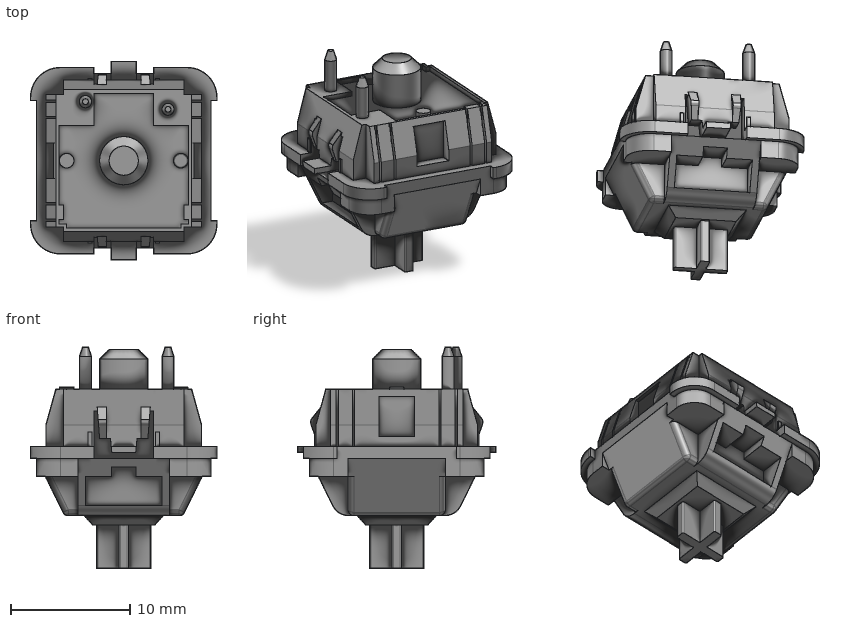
import cadquery as cq


EPS = 0.18

FLANGE_WIDTH = 15.6
FLANGE_T = 1.0
FLANGE_CORNER_R = 2.5
WAIST_WIDTH = 14.62
WAIST_LENGTH = 10.03

WALL_STRAIGHT = 1.8
WALL_LEAN = 3.0
CASE_TOP = FLANGE_T + WALL_STRAIGHT + WALL_LEAN
LEAN_Z = FLANGE_T + WALL_STRAIGHT
SIDE_BASE_X = 6.51
SIDE_TOP_X = 5.68
SIDE_HALF_Y = 5.55
END_BASE_Y = 6.75
END_TOP_Y = 5.94
END_HALF_X = 5.03

SLOT_WIDTH = 0.18
SLOT_CENTRES_Y = (3.6, 4.98)
WINDOW_WIDTH = 2.98
WINDOW_SILL_Z = 1.81
WINDOW_TOP_Z = 5.16
WINDOW_BACK_X = 5.55

RECESS_WIDTH = 5.0
RECESS_BACK_Y = 5.35
RECESS_TOP_Z = 3.98
LATCH_TOP_Z = 4.27
LATCH_STEP_Z = 1.66
LATCH_TOP_HALF = 2.22
LATCH_STEP_HALF = 2.02
LATCH_INNER_X = 1.46
TONGUE_TOP_HALF = 1.11
TONGUE_BOTTOM_HALF = 1.0
TOOTH_REACH_Y = 7.2
TOOTH_CREST_BULGE = 0.04
TOOTH_CREST_TOP_Z = 3.25
TOOTH_CREST_BOTTOM_Z = 2.8
TAB_SPAN = 16.6
TAB_REACH_Y = TAB_SPAN / 2
TAB_BOTTOM_Z = FLANGE_T / 2
RIB_CENTRE_X = 2.83
RIB_WIDTH = 0.31
RIB_TOP_Z = 2.18
RIB_FACE_Y = 6.88

POCKET_DEPTH = 0.4
FLOOR_Z = CASE_TOP - POCKET_DEPTH
POCKET_HALF_X = 5.4
POCKET_NECK_HALF_X = 2.5
POCKET_NECK_END_Y = 5.6
POCKET_SHOULDER_Y = 2.92
POCKET_CORNER_HALF_X = 4.77
POCKET_CORNER_Y = -5.27
POCKET_END_Y = -5.65
LUG_DEPTH = 0.37
LUG_FRONT_Y = -3.7
LUG_REAR_Y = -4.92
POST_R = 2.02
POST_TOP_Z = 9.1
POST_CHAMFER = 0.8
PEG_R = 0.61
PEG_X = 4.77
PEG_TOP_Z = 5.95
PEG_ROUND = 0.07

LOWER_HEIGHT = 4.8
LOWER_TOP_HALF = WAIST_WIDTH / 2
LOWER_BOTTOM_HALF = 4.94
LONG_HALF_Y = 4.07
CROSS_HALF_X = 3.81
LOWER_EDGE_R = 0.5
BELLY_R = 1.5
BLOCK_HEIGHT = 1.5
BLOCK_CORNER_R = 2.02

NICHE_WIDTH = 6.42
NICHE_FLOOR_Z = -3.95
NICHE_BACK_Y = 4.37
NICHE_NOTCH_WIDTH = 2.02
NICHE_NOTCH_TOP_Z = -0.72

FRUSTUM_HEIGHT = 0.8
FRUSTUM_TOP = 6.62
FRUSTUM_BOTTOM = 5.15
CROSS_SPAN = 4.53
CROSS_ARM_T = 0.8
CROSS_HEIGHT = 3.6
CROSS_ROUND = 0.13

PINS = ((-3.2, 4.94, 0.52), (3.7, 4.3, 0.5))
PIN_HEIGHT = 3.52
PIN_POINT = 0.8
PIN_TIP_R = 0.24


def box(x0, x1, y0, y1, z0, z1):
    return cq.Workplane("XY").box(x1 - x0, y1 - y0, z1 - z0, centered=False).translate((x0, y0, z0))


def prism_along_y(points, half_length):
    """Outline in XZ, extruded symmetrically in Y."""
    return cq.Workplane("XZ").polyline(points).close().extrude(half_length, both=True)


def prism_along_x(points, half_length):
    """Outline in YZ, extruded symmetrically in X."""
    return cq.Workplane("YZ").polyline(points).close().extrude(half_length, both=True)


def mirrored(points):
    """Closed outline from its positive half, listed from one end of the mirror axis to the other."""
    return points + [(-u, v) for u, v in reversed(points)]


def both_ends(shape):
    return shape.union(shape.mirror("XZ"))


def both_sides(shape):
    return shape.union(shape.mirror("YZ"))


def rounded_square(width, radius, z0, height):
    square = cq.Workplane("XY", origin=(0, 0, z0)).rect(width, width).extrude(height)
    return square.edges("|Z").fillet(radius)


def make_flange():
    flange = rounded_square(FLANGE_WIDTH, FLANGE_CORNER_R, 0, FLANGE_T)
    waist = box(WAIST_WIDTH / 2, FLANGE_WIDTH, -WAIST_LENGTH / 2, WAIST_LENGTH / 2, -EPS, FLANGE_T + EPS)
    return flange.cut(both_sides(waist))


def make_corner_blocks():
    blocks = rounded_square(WAIST_WIDTH, BLOCK_CORNER_R, -BLOCK_HEIGHT, BLOCK_HEIGHT)
    far = WAIST_WIDTH
    blocks = blocks.cut(box(-CROSS_HALF_X, CROSS_HALF_X, -far, far, -BLOCK_HEIGHT, 0))
    return blocks.cut(box(-far, far, -LONG_HALF_Y, LONG_HALF_Y, -BLOCK_HEIGHT, 0))


def make_lower_case():
    taper = [(LOWER_TOP_HALF, 0), (LOWER_BOTTOM_HALF, -LOWER_HEIGHT)]
    cross_prism = prism_along_x(mirrored(taper), CROSS_HALF_X)
    cross_prism = cross_prism.faces("<Z").edges("|X").fillet(BELLY_R)
    long_prism = prism_along_y(mirrored(taper), LONG_HALF_Y)
    far = WAIST_WIDTH
    upper = long_prism.intersect(box(-far, far, -far, far, -BLOCK_HEIGHT, 0))
    lower = long_prism.cut(upper).edges("(not #Z) or (<Z)").fillet(LOWER_EDGE_R)
    return upper.union(lower).union(cross_prism).union(make_corner_blocks())


def make_niche():
    outside = LOWER_TOP_HALF + EPS
    half = NICHE_WIDTH / 2
    notch_half = NICHE_NOTCH_WIDTH / 2
    wide = box(-half, half, NICHE_BACK_Y, outside, NICHE_FLOOR_Z, -BLOCK_HEIGHT)
    notch = box(-notch_half, notch_half, NICHE_BACK_Y, outside, -BLOCK_HEIGHT, NICHE_NOTCH_TOP_Z)
    return both_ends(wide.union(notch))


def make_upper_case():
    side = [(SIDE_BASE_X, 0), (SIDE_BASE_X, LEAN_Z), (SIDE_TOP_X, CASE_TOP)]
    end = [(END_BASE_Y, 0), (END_BASE_Y, LEAN_Z), (END_TOP_Y, CASE_TOP)]
    return prism_along_y(mirrored(side), SIDE_HALF_Y).union(prism_along_x(mirrored(end), END_HALF_X))


def make_side_cuts():
    outside = SIDE_BASE_X + EPS
    half = WINDOW_WIDTH / 2
    cuts = box(WINDOW_BACK_X, outside, -half, half, WINDOW_SILL_Z, WINDOW_TOP_Z)
    for centre in SLOT_CENTRES_Y:
        for y in (-centre, centre):
            y0 = y - SLOT_WIDTH / 2
            cuts = cuts.union(box(SIDE_TOP_X, outside, y0, y0 + SLOT_WIDTH, FLANGE_T, CASE_TOP + EPS))
    return both_sides(cuts)


def make_latch_outline():
    """Latch seen along Y: broad head over a narrow tongue."""
    half = [
        (LATCH_TOP_HALF, LATCH_TOP_Z),
        (LATCH_STEP_HALF, LATCH_STEP_Z),
        (TONGUE_TOP_HALF, LATCH_STEP_Z),
        (TONGUE_BOTTOM_HALF, TAB_BOTTOM_Z),
    ]
    return prism_along_y(mirrored(half), FLANGE_WIDTH)


def make_recess(latch):
    half = RECESS_WIDTH / 2
    recess = box(-half, half, RECESS_BACK_Y, FLANGE_WIDTH, 0, RECESS_TOP_Z)
    return both_ends(recess.cut(latch))


def make_latch_details(latch):
    tab = box(-LATCH_TOP_HALF, LATCH_TOP_HALF, RECESS_BACK_Y, TAB_REACH_Y, TAB_BOTTOM_Z, FLANGE_T)
    lean = (END_BASE_Y - END_TOP_Y) / WALL_LEAN
    tooth_root_y = END_BASE_Y - lean * (LATCH_TOP_Z - LEAN_Z)
    teeth = (
        cq.Workplane("YZ")
        .moveTo(tooth_root_y - EPS, LATCH_STEP_Z)
        .lineTo(END_BASE_Y, LATCH_STEP_Z)
        .lineTo(TOOTH_REACH_Y - TOOTH_CREST_BULGE, TOOTH_CREST_BOTTOM_Z)
        .threePointArc(
            (TOOTH_REACH_Y, (TOOTH_CREST_TOP_Z + TOOTH_CREST_BOTTOM_Z) / 2),
            (TOOTH_REACH_Y - TOOTH_CREST_BULGE, TOOTH_CREST_TOP_Z),
        )
        .lineTo(tooth_root_y, LATCH_TOP_Z)
        .lineTo(tooth_root_y - EPS, LATCH_TOP_Z)
        .close()
        .extrude(LATCH_TOP_HALF, both=True)
    )
    gap = box(-LATCH_INNER_X, LATCH_INNER_X, 0, FLANGE_WIDTH, 0, CASE_TOP)
    details = tab.union(teeth.cut(gap)).intersect(latch)
    rib_x = RIB_CENTRE_X - RIB_WIDTH / 2
    rib = box(rib_x, rib_x + RIB_WIDTH, END_BASE_Y, RIB_FACE_Y, FLANGE_T, RIB_TOP_Z)
    return both_ends(details.union(both_sides(rib)))


def make_pocket():
    half = [
        (POCKET_NECK_HALF_X, POCKET_NECK_END_Y),
        (POCKET_NECK_HALF_X, POCKET_SHOULDER_Y),
        (POCKET_HALF_X, POCKET_SHOULDER_Y),
        (POCKET_HALF_X, LUG_FRONT_Y),
        (POCKET_HALF_X - LUG_DEPTH, LUG_FRONT_Y),
        (POCKET_HALF_X - LUG_DEPTH, LUG_REAR_Y),
        (POCKET_HALF_X, LUG_REAR_Y),
        (POCKET_HALF_X, POCKET_CORNER_Y),
        (POCKET_CORNER_HALF_X, POCKET_CORNER_Y),
        (POCKET_CORNER_HALF_X, POCKET_END_Y),
    ]
    sketch = cq.Workplane("XY", origin=(0, 0, FLOOR_Z)).polyline(mirrored(half)).close()
    return sketch.extrude(POCKET_DEPTH + EPS)


def make_post():
    post = cq.Workplane("XY", origin=(0, 0, FLOOR_Z)).circle(POST_R).extrude(POST_TOP_Z - FLOOR_Z)
    return post.faces(">Z").chamfer(POST_CHAMFER)


def make_peg(x):
    return cq.Workplane("XY", origin=(x, 0, FLOOR_Z)).circle(PEG_R).extrude(PEG_TOP_Z - FLOOR_Z)


def make_stem():
    frustum = (
        cq.Workplane("XY", origin=(0, 0, -LOWER_HEIGHT))
        .rect(FRUSTUM_TOP, FRUSTUM_TOP)
        .workplane(offset=-FRUSTUM_HEIGHT)
        .rect(FRUSTUM_BOTTOM, FRUSTUM_BOTTOM)
        .loft()
    )
    plane = cq.Workplane("XY", origin=(0, 0, -LOWER_HEIGHT - FRUSTUM_HEIGHT))
    arm_x = plane.rect(CROSS_SPAN, CROSS_ARM_T).extrude(-CROSS_HEIGHT).edges("|Z").fillet(CROSS_ROUND)
    arm_y = plane.rect(CROSS_ARM_T, CROSS_SPAN).extrude(-CROSS_HEIGHT).edges("|Z").fillet(CROSS_ROUND)
    return frustum.union(arm_x).union(arm_y)


def make_housing():
    latch = make_latch_outline()
    housing = make_flange().union(make_upper_case()).cut(make_recess(latch)).cut(make_side_cuts())
    housing = housing.union(make_latch_details(latch)).cut(make_pocket())
    housing = housing.union(make_post()).union(make_peg(-PEG_X))
    housing = housing.union(make_peg(PEG_X).faces(">Z").edges().fillet(PEG_ROUND))
    return housing.union(make_lower_case().cut(make_niche())).union(make_stem())


def make_pin(x, y, radius):
    pin = cq.Workplane("XY", origin=(x, y, CASE_TOP)).circle(radius).extrude(PIN_HEIGHT)
    return pin.faces(">Z").chamfer(PIN_POINT, radius - PIN_TIP_R)


housing = make_housing()
pins = [make_pin(x, y, radius) for x, y, radius in PINS]
result = cq.Compound.makeCompound([housing.solids().val(), *[pin.val() for pin in pins]])